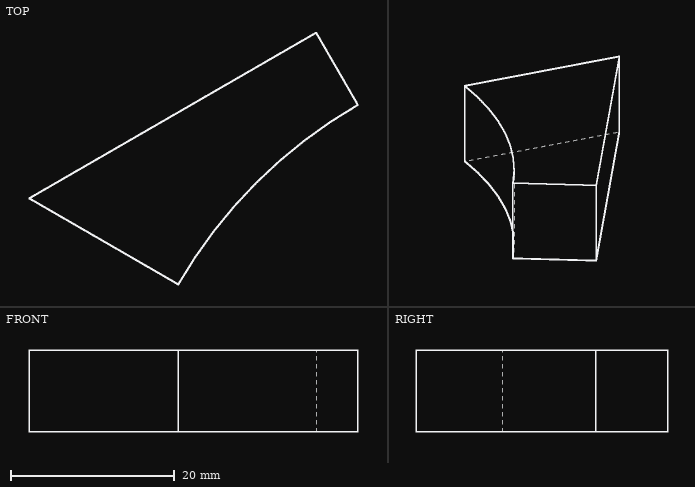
import cadquery as cq
import math

thickness = 10.0
long_side = 40.52
short_side = 10.2
wide_side = 21.05
tilt = math.radians(30)
arc_depth = 2.05

sharp_corner = (0, 0)
back_corner = (long_side * math.cos(tilt), long_side * math.sin(tilt))
narrow_corner = (
    back_corner[0] + short_side * math.sin(tilt),
    back_corner[1] - short_side * math.cos(tilt),
)
wide_corner = (wide_side * math.cos(tilt), -wide_side * math.sin(tilt))

chord_x = narrow_corner[0] - wide_corner[0]
chord_y = narrow_corner[1] - wide_corner[1]
chord_length = math.hypot(chord_x, chord_y)
arc_middle = (
    (narrow_corner[0] + wide_corner[0]) / 2 - arc_depth * chord_y / chord_length,
    (narrow_corner[1] + wide_corner[1]) / 2 + arc_depth * chord_x / chord_length,
)

result = (
    cq.Workplane("XY")
    .moveTo(*sharp_corner)
    .lineTo(*back_corner)
    .lineTo(*narrow_corner)
    .threePointArc(arc_middle, wide_corner)
    .close()
    .extrude(thickness)
)